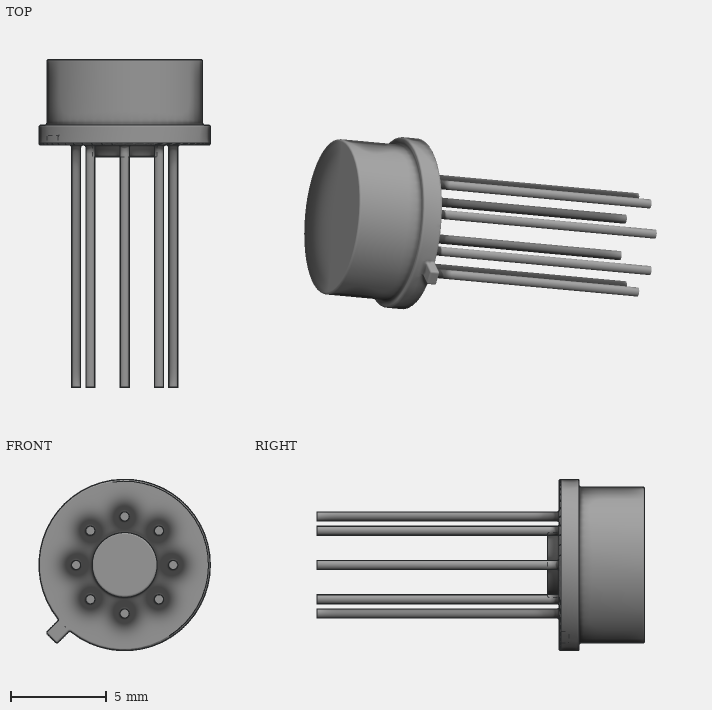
import cadquery as cq
import math

total_length = 17.14
edge_radius = 0.1

can_radius = 4.08
can_height = 3.43
flange_diameter = 8.96
flange_radius = flange_diameter / 2
flange_thickness = 1.05

standoff_radius = 1.7
standoff_height = 0.62

pin_count = 8
pin_radius = 0.24
pin_circle_radius = 2.54
pin_length = total_length - can_height - flange_thickness

tab_width = 0.8
tab_thickness = 0.51
tab_reach = 5.42
tab_angle = 45

seat_depth = 0.17


def cylinder(radius, y_start, y_end):
    """Cylinder about the Y axis between two Y positions."""
    base = cq.Workplane("XZ", origin=(0, y_end, 0))
    return base.circle(radius).extrude(y_end - y_start)


def make_flange_with_tab():
    """Flange disc with a radial index tab flush with its pin side, all edges rounded."""
    flange = cylinder(flange_radius, 0, flange_thickness)
    tab = (
        cq.Workplane("XY")
        .box(tab_reach, tab_thickness, tab_width, centered=(False, False, True))
        .translate((-tab_reach, 0, 0))
        .rotate((0, 0, 0), (0, 1, 0), -tab_angle)
    )
    return flange.union(tab).edges().fillet(edge_radius)


def make_can():
    """Plain can with a rounded closed end and a concave fillet where it meets the flange."""
    y_base = flange_thickness
    y_top = y_base + can_height
    corner = edge_radius * math.sqrt(0.5)
    return (
        cq.Workplane("XY")
        .moveTo(0, y_base - seat_depth)
        .lineTo(can_radius + edge_radius, y_base - seat_depth)
        .lineTo(can_radius + edge_radius, y_base)
        .threePointArc(
            (can_radius + edge_radius - corner, y_base + edge_radius - corner),
            (can_radius, y_base + edge_radius),
        )
        .lineTo(can_radius, y_top - edge_radius)
        .threePointArc(
            (can_radius - edge_radius + corner, y_top - edge_radius + corner),
            (can_radius - edge_radius, y_top),
        )
        .lineTo(0, y_top)
        .close()
        .revolve(360, (0, 0, 0), (0, 1, 0))
    )


def make_root_fillet(radius):
    """Flared collar, concave in section, around a post standing on the pin side."""
    corner = edge_radius * (1 - math.sqrt(0.5))
    return (
        cq.Workplane("XY")
        .moveTo(0, seat_depth)
        .lineTo(radius + edge_radius, seat_depth)
        .lineTo(radius + edge_radius, 0)
        .threePointArc((radius + corner, -corner), (radius, -edge_radius))
        .lineTo(0, -edge_radius)
        .close()
        .revolve(360, (0, 0, 0), (0, 1, 0))
    )


def make_standoff():
    """Central round standoff with a rounded end and a filleted root."""
    post = cylinder(standoff_radius, -standoff_height, seat_depth)
    post = post.faces("<Y").edges().fillet(edge_radius)
    return post.union(make_root_fillet(standoff_radius))


def make_pin():
    """Straight round pin on the Y axis with a filleted root."""
    return cylinder(pin_radius, -pin_length, seat_depth).union(make_root_fillet(pin_radius))


result = make_flange_with_tab().union(make_can()).union(make_standoff())

full_turn = 2 * math.pi
pin = make_pin()
for index in range(pin_count):
    angle = full_turn * index / pin_count
    position = (pin_circle_radius * math.cos(angle), 0, pin_circle_radius * math.sin(angle))
    result = result.union(pin.translate(position))